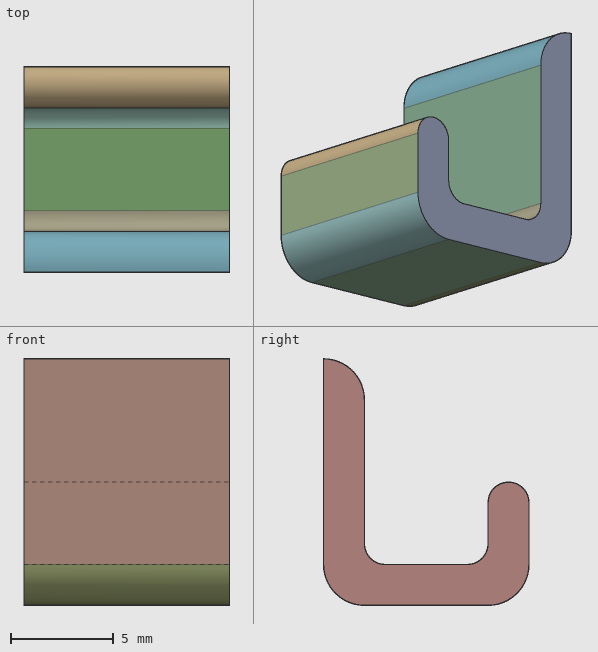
import cadquery as cq

height = 12.0
wall = height / 6
width = 5 * wall
depth = 5 * wall
hook_height = height / 2

outer_radius = wall
inner_radius = wall / 2
hook_radius = wall / 2

front = -depth / 2
back = depth / 2
hook_shoulder = hook_height - hook_radius


def j_profile():
    """J-shaped section in the YZ plane, with sharp bottom corners."""
    return (
        cq.Workplane("YZ", origin=(-width / 2, 0, 0))
        .moveTo(front, 0)
        .lineTo(back, 0)
        .lineTo(back, hook_shoulder)
        .threePointArc((back - hook_radius, hook_height), (back - wall, hook_shoulder))
        .lineTo(back - wall, wall)
        .lineTo(front + wall, wall)
        .lineTo(front + wall, height - outer_radius)
        .radiusArc((front, height), -outer_radius)
        .close()
    )


def corner_edges(body, z):
    """Edges along X at height z, where the floor meets the two walls."""
    return body.faces(cq.selectors.BoxSelector(
        (-width, front, z - wall / 4), (width, back, z + wall / 4)
    )).edges("|X")


body = j_profile().extrude(width)
body = corner_edges(body, 0).fillet(outer_radius)
result = corner_edges(body, wall).fillet(inner_radius)